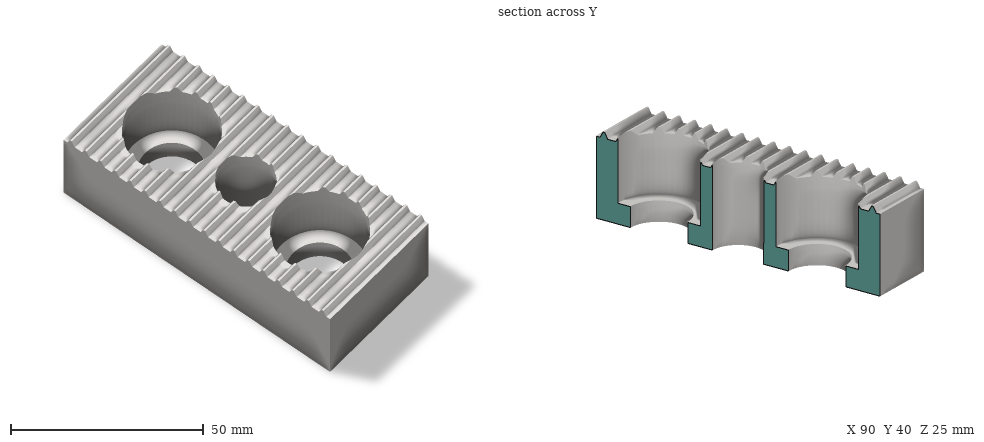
import cadquery as cq

length = 90.0
width = 40.0
height = 25.0

tooth_count = 18
tooth_height = 1.7
tooth_base = 2.5
tooth_tip = 0.5

bolt_spacing = 50.0
bolt_diameter = 18.0
counterbore_diameter = 26.0
counterbore_depth = 19.0
centre_diameter = 16.0

tooth_pitch = length / tooth_count
root_height = height - tooth_height


def toothed_profile():
    """End outline in XZ: a rectangle whose top edge carries the row of teeth."""
    points = [(-length / 2, 0), (-length / 2, root_height)]
    for index in range(tooth_count):
        middle = -length / 2 + (index + 0.5) * tooth_pitch
        points += [
            (middle - tooth_base / 2, root_height),
            (middle - tooth_tip / 2, height),
            (middle + tooth_tip / 2, height),
            (middle + tooth_base / 2, root_height),
        ]
    points += [(length / 2, root_height), (length / 2, 0)]
    return points


block = cq.Workplane("XZ").polyline(toothed_profile()).close().extrude(width / 2, both=True)

bolt_places = [(-bolt_spacing / 2, 0), (bolt_spacing / 2, 0)]
tip_plane = cq.Workplane("XY", origin=(0, 0, height))
bolt_holes = tip_plane.pushPoints(bolt_places).circle(bolt_diameter / 2).extrude(-height)
counterbores = tip_plane.pushPoints(bolt_places).circle(counterbore_diameter / 2).extrude(-counterbore_depth)
centre_hole = tip_plane.circle(centre_diameter / 2).extrude(-height)

result = block.cut(bolt_holes).cut(counterbores).cut(centre_hole)